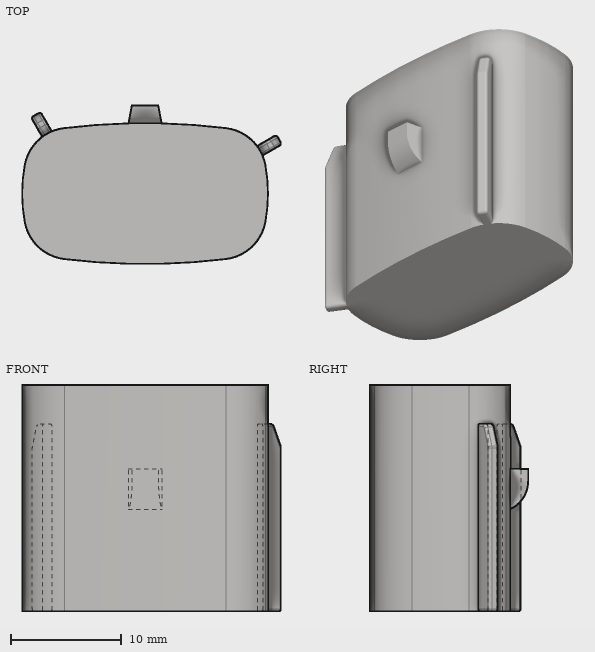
import cadquery as cq
import math

HEIGHT = 20.5
HALF_WIDTH = 11.13
HALF_DEPTH = 6.38
LONG_SIDE_RADIUS = 60.0
SHORT_SIDE_RADIUS = 14.0
CORNER_RADIUS = 4.15

RIGHT_FIN_ANGLE = 30.0
LEFT_FIN_ANGLE = 120.0
FIN_HEIGHT = 17.0
FIN_THICKNESS = 1.0
FIN_PROJECTION = 2.0
FIN_SLOPE_DROP = 2.1
FIN_SLOPE_ANGLE = 22.0
FIN_BEND_RADIUS = 0.5
FIN_EDGE_RADIUS = 0.25

CATCH_PROJECTION = 1.6
CATCH_ROOT_WIDTH = 3.0
CATCH_TIP_WIDTH = 2.4
CATCH_TOP = 12.9
CATCH_FACE_HEIGHT = 1.1
CATCH_UNDERSIDE_RADIUS = 2.8
CATCH_EMBED = 0.5


def corner_centre():
    """Centre of the +X +Y corner arc, tangent inside both neighbouring side arcs."""
    long_centre_y = HALF_DEPTH - LONG_SIDE_RADIUS
    short_centre_x = HALF_WIDTH - SHORT_SIDE_RADIUS
    to_long = LONG_SIDE_RADIUS - CORNER_RADIUS
    to_short = SHORT_SIDE_RADIUS - CORNER_RADIUS
    spacing = math.hypot(short_centre_x, long_centre_y)
    along = (to_long**2 - to_short**2 + spacing**2) / (2 * spacing)
    across = math.sqrt(to_long**2 - along**2)
    unit_x = short_centre_x / spacing
    unit_y = -long_centre_y / spacing
    x = along * unit_x + across * unit_y
    y = long_centre_y + along * unit_y - across * unit_x
    return x, y


CORNER_X, CORNER_Y = corner_centre()


def make_body():
    """Upright prism on the closed outline of side arcs and tangent corner arcs."""
    long_angle = math.atan2(CORNER_Y - HALF_DEPTH + LONG_SIDE_RADIUS, CORNER_X)
    short_angle = math.atan2(CORNER_Y, CORNER_X - HALF_WIDTH + SHORT_SIDE_RADIUS)
    middle_angle = (long_angle + short_angle) / 2

    def on_corner(angle, sign_x, sign_y):
        x = CORNER_X + CORNER_RADIUS * math.cos(angle)
        y = CORNER_Y + CORNER_RADIUS * math.sin(angle)
        return sign_x * x, sign_y * y

    outline = (
        cq.Workplane("XY")
        .moveTo(*on_corner(long_angle, -1, 1))
        .threePointArc((0, HALF_DEPTH), on_corner(long_angle, 1, 1))
        .threePointArc(on_corner(middle_angle, 1, 1), on_corner(short_angle, 1, 1))
        .threePointArc((HALF_WIDTH, 0), on_corner(short_angle, 1, -1))
        .threePointArc(on_corner(middle_angle, 1, -1), on_corner(long_angle, 1, -1))
        .threePointArc((0, -HALF_DEPTH), on_corner(long_angle, -1, -1))
        .threePointArc(on_corner(middle_angle, -1, -1), on_corner(short_angle, -1, -1))
        .threePointArc((-HALF_WIDTH, 0), on_corner(short_angle, -1, 1))
        .threePointArc(on_corner(middle_angle, -1, 1), on_corner(long_angle, -1, 1))
        .close()
    )
    return outline.extrude(HEIGHT)


def make_fin(centre_x, angle):
    """Fin rooted on a rear corner's centre line, with a sloped outer top and rounded edges."""
    reach = CORNER_RADIUS + FIN_PROJECTION
    slope_run = FIN_SLOPE_DROP * math.tan(math.radians(FIN_SLOPE_ANGLE))
    fin = (
        cq.Workplane("XZ")
        .moveTo(0, 0)
        .lineTo(reach, 0)
        .lineTo(reach, FIN_HEIGHT - FIN_SLOPE_DROP)
        .lineTo(reach - slope_run, FIN_HEIGHT)
        .lineTo(0, FIN_HEIGHT)
        .close()
        .extrude(FIN_THICKNESS / 2, both=True)
        .edges("|Y")
        .edges("not <X")
        .edges("not <Z")
        .fillet(FIN_BEND_RADIUS)
        .faces(">X or <Z")
        .edges("not <X")
        .fillet(FIN_EDGE_RADIUS)
    )
    return fin.rotate((0, 0, 0), (0, 0, 1), angle).translate((centre_x, CORNER_Y, 0))


def make_catch():
    """Overlap of the side profile, with its rounded underside, and the tapered plan profile."""
    root_y = HALF_DEPTH - CATCH_EMBED
    tip_y = HALF_DEPTH + CATCH_PROJECTION
    face_bottom = CATCH_TOP - CATCH_FACE_HEIGHT
    arc_centre_y = tip_y - CATCH_UNDERSIDE_RADIUS

    def on_underside(y):
        return y, face_bottom - math.sqrt(CATCH_UNDERSIDE_RADIUS**2 - (y - arc_centre_y) ** 2)

    side_profile = (
        cq.Workplane("YZ")
        .moveTo(root_y, CATCH_TOP)
        .lineTo(tip_y, CATCH_TOP)
        .lineTo(tip_y, face_bottom)
        .threePointArc(on_underside(HALF_DEPTH), on_underside(root_y))
        .close()
        .extrude(CATCH_ROOT_WIDTH, both=True)
    )
    flare = (CATCH_ROOT_WIDTH - CATCH_TIP_WIDTH) / 2 / CATCH_PROJECTION
    embedded_half_width = CATCH_ROOT_WIDTH / 2 + flare * CATCH_EMBED
    plan_profile = (
        cq.Workplane("XY")
        .polyline(
            [
                (-embedded_half_width, root_y),
                (embedded_half_width, root_y),
                (CATCH_TIP_WIDTH / 2, tip_y),
                (-CATCH_TIP_WIDTH / 2, tip_y),
            ]
        )
        .close()
        .extrude(HEIGHT)
    )
    return side_profile.intersect(plan_profile)


result = (
    make_body()
    .union(make_catch())
    .union(make_fin(CORNER_X, RIGHT_FIN_ANGLE))
    .union(make_fin(-CORNER_X, LEFT_FIN_ANGLE))
)